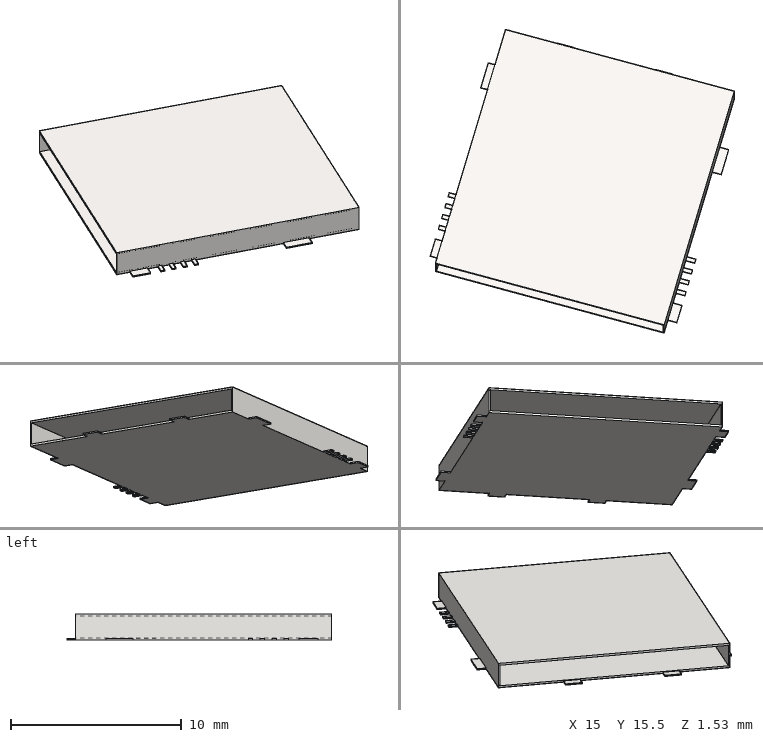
import cadquery as cq

overall_width = 15.0
overall_length = 15.5
height = 1.53

side_reach = 0.55
rear_reach = 0.5
sleeve_width = overall_width - 2 * side_reach
sleeve_length = overall_length - rear_reach
plate_thickness = 0.12
side_wall = 0.08

tab_thickness = 0.08
tab_overlap = side_wall

pin_width = 0.25
pin_pitch = 0.7
pin_count = 4
first_pin_y = 2.67

front_tab_width = 1.1
front_tab_y = 1.36
long_tab_width = 1.6
left_long_tab_y = 12.42
right_long_tab_y = 11.11

rear_tab_width = 1.0
rear_tab_positions = (-3.44, 2.54)


def block(width, length, thickness, center_x, center_y, bottom=0.0):
    """Box centred in X and Y, standing on the given height."""
    solid = cq.Workplane("XY").box(width, length, thickness, centered=(True, True, False))
    return solid.translate((center_x, center_y, bottom))


def side_tab(side, center_y, width):
    """Tab pointing outwards; side is -1 for left and 1 for right."""
    length = side_reach + tab_overlap
    center_x = side * (overall_width - length) / 2
    return block(length, width, tab_thickness, center_x, center_y)


def rear_tab(center_x):
    """Tab pointing backwards, rooted in the floor."""
    length = rear_reach + tab_overlap
    return block(rear_tab_width, length, tab_thickness, center_x, overall_length - length / 2)


def make_sleeve():
    outer = block(sleeve_width, sleeve_length, height, 0, sleeve_length / 2)
    opening = block(
        sleeve_width - 2 * side_wall,
        sleeve_length,
        height - 2 * plate_thickness,
        0,
        sleeve_length / 2,
        plate_thickness,
    )
    return outer.cut(opening)


result = make_sleeve()

for side, long_tab_y in ((-1, left_long_tab_y), (1, right_long_tab_y)):
    result = result.union(side_tab(side, long_tab_y, long_tab_width))
    result = result.union(side_tab(side, front_tab_y, front_tab_width))
    for pin in range(pin_count):
        result = result.union(side_tab(side, first_pin_y + pin * pin_pitch, pin_width))

for tab_x in rear_tab_positions:
    result = result.union(rear_tab(tab_x))